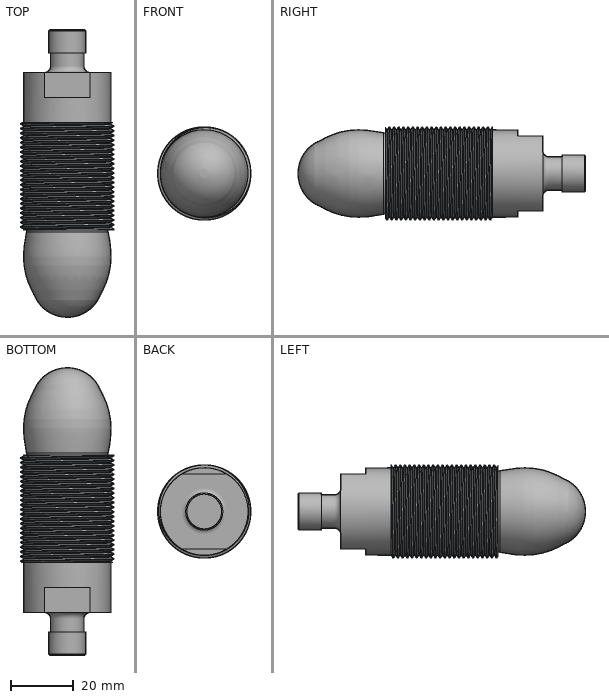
import cadquery as cq
import math

total_length = 92.0

plug_radius = 11.88 / 2
plug_chamfer = 0.4
plug_end = 7.5
neck_radius = 10.74 / 2
neck_fillet = 2.0

body_radius = 28.0 / 2
body_start = 13.7
flat_length = 8.0
flat_spacing = 24.0
smooth_length = 16.0

thread_start = body_start + smooth_length
thread_length = 34.3
thread_end = thread_start + thread_length
thread_pitch = 1.5
thread_crest_radius = 29.85 / 2
thread_root_radius = 28.13 / 2
thread_crest_width = thread_pitch / 8
thread_flank_angle = 30.0
thread_embed = 0.1
thread_phase = -0.33

relief_radius = 26.05 / 2
relief_end = thread_end + 0.7
barrel_start_radius = 13.1
waist_start = 72.4
waist_end = 72.7
shoulder_station = 75.5
ogive_radius = 22.9
ogive_end = 83.25
cone_end = 86.55
cone_end_radius = 9.75
tip_circle_radius = 3.0 / 2


def arc_point(peak_station, arc_radius, station):
    """Point on an arc that is tangent to the body cylinder at peak_station."""
    offset = station - peak_station
    drop = arc_radius - math.sqrt(arc_radius**2 - offset**2)
    return (body_radius - drop, station)


def tip_point(sphere_radius, radius):
    """Point of the spherical tip at the given distance from the axis."""
    height = math.sqrt(sphere_radius**2 - radius**2)
    return (radius, total_length - sphere_radius + height)


def make_rear():
    """Plug, neck with a fillet at its foot, and smooth body."""
    fillet_start = body_start - neck_fillet
    fillet_outer = neck_radius + neck_fillet
    fillet_mid = neck_fillet * math.sin(math.radians(45))
    profile = (
        cq.Workplane("XZ")
        .moveTo(0, 0)
        .lineTo(plug_radius - plug_chamfer, 0)
        .lineTo(plug_radius, plug_chamfer)
        .lineTo(plug_radius, plug_end)
        .lineTo(neck_radius, plug_end)
        .lineTo(neck_radius, fillet_start)
        .threePointArc(
            (fillet_outer - fillet_mid, fillet_start + fillet_mid),
            (fillet_outer, body_start),
        )
        .lineTo(body_radius, body_start)
        .lineTo(body_radius, thread_start)
        .lineTo(0, thread_start)
        .close()
    )
    return profile.revolve(360, (0, 0, 0), (0, 1, 0))


def cut_flats(body):
    """Two parallel wrench flats at the rear end of the body."""
    depth = body_radius
    for side in (-1, 1):
        cutter = (
            cq.Workplane("XY")
            .workplane(offset=body_start)
            .center(0, side * (flat_spacing + depth) / 2)
            .rect(2 * body_radius, depth)
            .extrude(flat_length)
        )
        body = body.cut(cutter)
    return body


def make_nose():
    """Relief neck, barrel, ogive, cone and spherical tip."""
    barrel_drop = body_radius - barrel_start_radius
    barrel_length = waist_start - relief_end
    barrel_arc_radius = (barrel_length**2 + barrel_drop**2) / (2 * barrel_drop)
    tip_height = total_length - cone_end
    tip_radius = (cone_end_radius**2 + tip_height**2) / (2 * tip_height)

    def ogive(station):
        return arc_point(waist_end, ogive_radius, station)

    profile = (
        cq.Workplane("XZ")
        .moveTo(0, thread_end)
        .lineTo(relief_radius, thread_end)
        .lineTo(relief_radius, relief_end)
        .lineTo(barrel_start_radius, relief_end)
        .threePointArc(
            arc_point(waist_start, barrel_arc_radius, (relief_end + waist_start) / 2),
            (body_radius, waist_start),
        )
        .lineTo(body_radius, waist_end)
        .threePointArc(ogive((waist_end + shoulder_station) / 2), ogive(shoulder_station))
        .threePointArc(ogive((shoulder_station + ogive_end) / 2), ogive(ogive_end))
        .lineTo(cone_end_radius, cone_end)
        .threePointArc(
            tip_point(tip_radius, (cone_end_radius + tip_circle_radius) / 2),
            tip_point(tip_radius, tip_circle_radius),
        )
        .threePointArc(tip_point(tip_radius, tip_circle_radius / 2), (0, total_length))
        .close()
    )
    return profile.revolve(360, (0, 0, 0), (0, 1, 0), clean=False)


def make_thread():
    """Right-hand helical ridge on a core, cut square at both ends."""
    core = (
        cq.Workplane("XY")
        .workplane(offset=thread_start)
        .circle(thread_root_radius)
        .extrude(thread_length)
    )
    ridge_inner = thread_root_radius - thread_embed
    ridge_height = thread_crest_radius - ridge_inner
    crest_half = thread_crest_width / 2
    base_half = crest_half + ridge_height * math.tan(math.radians(thread_flank_angle))
    ridge_start = thread_start - thread_pitch + thread_phase
    helix_height = thread_length + 3 * thread_pitch
    path = cq.Wire.makeHelix(
        thread_pitch, helix_height, ridge_inner, center=cq.Vector(0, 0, ridge_start)
    )
    ridge = (
        cq.Workplane("XZ")
        .polyline(
            [
                (ridge_inner, ridge_start - base_half),
                (thread_crest_radius, ridge_start - crest_half),
                (thread_crest_radius, ridge_start + crest_half),
                (ridge_inner, ridge_start + base_half),
            ]
        )
        .close()
        .sweep(cq.Workplane(path), isFrenet=True)
    )
    envelope = (
        cq.Workplane("XY")
        .workplane(offset=thread_start)
        .circle(thread_crest_radius + thread_pitch)
        .extrude(thread_length)
    )
    return core.union(ridge.intersect(envelope))


rear = cut_flats(make_rear())
part = make_thread().union(rear).union(make_nose(), clean=False)
result = part.rotate((0, 0, 0), (1, 0, 0), 90).translate((0, total_length / 2, 0))